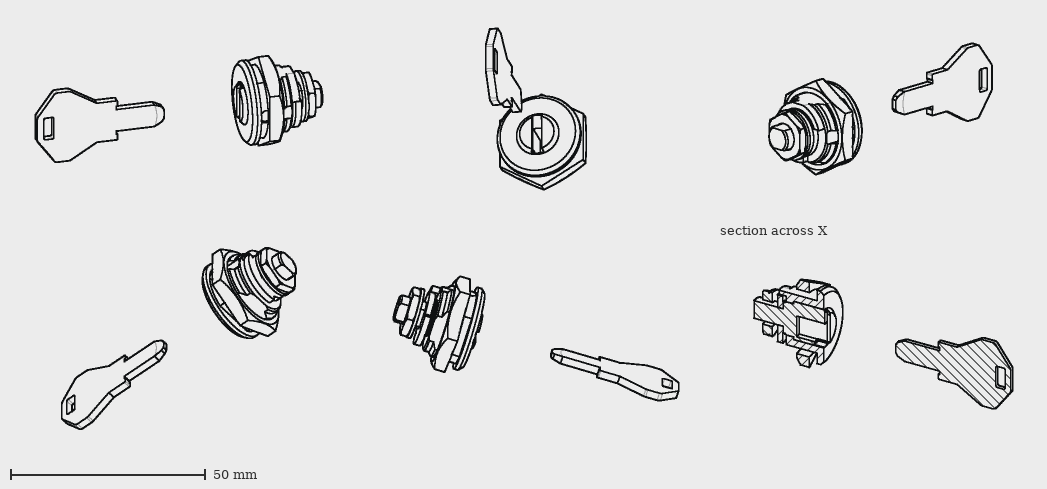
import cadquery as cq
import math


PLUG_FACE_Y = -3.2
BEZEL_FACE_Y = -2.1
BEZEL_EDGE_Y = -1.05
NUT_FRONT_Y = 2.2
NUT_REAR_Y = 6.0
THREAD_END_Y = 6.6
NECKING_Y = 7.5
HOUSING_REAR_Y = 9.05
STOP_WALL_REAR_Y = 11.2
STOP_DISC_Y = 10.05
STOP_DISC_THICKNESS = 1.6
SHAFT_END_Y = 18.5

BEZEL_RADIUS = 10.95
BEZEL_CHAMFER = 1.0
THREAD_RADIUS = 9.5
NOSE_RADIUS = 8.6
NOSE_CHAMFER = 0.45
HOUSING_HALF_FLAT = 7.85
SIDE_SLOT_WIDTH = 3.5
SIDE_SLOT_FLOOR_X = 8.3
STOP_WALL_RADIUS = 8.1
STOP_WALL_INNER_RADIUS = 6.5
STOP_EDGE = 2.4

PLUG_RADIUS = 5.6
PLUG_CHAMFER = 1.05
PLUG_SHOULDER_Y = 6.8
JOURNAL_RADIUS = 4.8
JOURNAL_END_Y = 9.4
NECK_RADIUS = 4.6
SHAFT_RADIUS = 3.55
SHAFT_HALF_FLAT = 2.68
SHAFT_CHAMFER = 0.45
KEYWAY_WIDTH = 2.6
KEYWAY_TOP_Z = 3.8
KEYWAY_DEPTH = 0.8
BLADE_SLOT_WIDTH = 2.4
BLADE_SLOT_TOP_Z = 5.1
BLADE_HOLE_TOP_Z = 1.5
BLADE_HOLE_DEPTH = 9.05
POCKET_TOP_Z = -4.3
POCKET_END_WIDTH = 3.8
POCKET_END_RADIUS = 5.35
POCKET_DEPTH = 3.8

NUT_FLATS = 22.0
NUT_CHAMFER_RADIUS = 10.9
NUT_CHAMFER_DEPTH = 1.1
SMALL_NUT_FLATS = 11.3
SMALL_NUT_FRONT_Y = 13.05
SMALL_NUT_FLANGE_RADIUS = 6.6
SMALL_NUT_FLANGE_THICKNESS = 0.8
SMALL_NUT_HEX_HEIGHT = 2.05
SMALL_NUT_CHAMFER_RADIUS = 6.0
SMALL_NUT_CHAMFER_DEPTH = 0.3

STOP_DISC_RADIUS = 6.35
STOP_LOBE_RADIUS = 7.7

KEY_END_Y = SHAFT_END_Y - 75.5
KEY_THICKNESS = 2.05
KEY_LENGTH = 34.0
BOW_END_HALF_WIDTH = 3.4
BOW_HALF_WIDTH = 9.9
BOW_WIDE_START = 4.75
BOW_WIDE_END = 8.7
BOW_CORNER_RADIUS = 1.05
COLLAR_START = 15.85
COLLAR_END = 21.4
COLLAR_HALF_WIDTH = 5.6
COLLAR_LIP_HALF_WIDTH = 4.0
COLLAR_UNDERCUT = 0.3
COLLAR_CORNER_RADIUS = 0.3
BLADE_HALF_WIDTH = 3.1
TIP_START = 31.2
TIP_SHOULDER = 33.3
TIP_SHOULDER_HALF_WIDTH = 2.1
TIP_HALF_WIDTH = 1.1
TIP_THICKNESS = 1.2
TIP_BEVEL_RADIUS = 8.1
TIP_BEVEL_LENGTH = 2.2
KEY_RING_HOLE_NEAR = 1.7
KEY_RING_HOLE_LENGTH = 2.65
KEY_RING_HOLE_HEIGHT = 6.1
KEY_RING_HOLE_CORNER = 0.45


def revolve_about_y(profile):
    """Solid of revolution about Y from (radius, y) points."""
    return cq.Workplane("XY").polyline(profile).close().revolve(360, (0, 0), (0, 1))


def cylinder(radius, y_start, y_end):
    return revolve_about_y([(0, y_start), (radius, y_start), (radius, y_end), (0, y_end)])


def block(x_range, y_range, z_range):
    """Box between two limits along each axis."""
    spans = (x_range, y_range, z_range)
    size = [high - low for low, high in spans]
    middle = [(high + low) / 2 for low, high in spans]
    return cq.Workplane("XY").box(*size).translate(tuple(middle))


def hexagon(flats, y_start, y_end):
    """Hexagonal prism along Y with corners at +Z and -Z."""
    corner_circle = flats / math.cos(math.pi / 6)
    prism = cq.Workplane("XZ").polygon(6, corner_circle).extrude(y_start - y_end)
    return prism.rotate((0, 0, 0), (0, 1, 0), 90).translate((0, y_start, 0))


def shaft_bar(y_start, y_end):
    """Round bar with flats above and below."""
    flats = block((-SHAFT_RADIUS, SHAFT_RADIUS), (y_start, y_end), (-SHAFT_HALF_FLAT, SHAFT_HALF_FLAT))
    return cylinder(SHAFT_RADIUS, y_start, y_end).intersect(flats)


def side_slot():
    """Slot across both sides of the housing, round at its bezel end and open at the rear."""
    end_radius = SIDE_SLOT_WIDTH / 2
    round_end = cq.Workplane("YZ").center(end_radius, 0).circle(end_radius).extrude(BEZEL_RADIUS, both=True)
    straight = block((-BEZEL_RADIUS, BEZEL_RADIUS), (end_radius, HOUSING_REAR_Y), (-end_radius, end_radius))
    core = block(
        (-SIDE_SLOT_FLOOR_X, SIDE_SLOT_FLOOR_X), (0, HOUSING_REAR_Y), (-SIDE_SLOT_WIDTH, SIDE_SLOT_WIDTH)
    )
    return round_end.union(straight).cut(core)


def stop_wall():
    """Raised arc on the housing's rear, above the stop faces."""
    ring = cylinder(STOP_WALL_RADIUS, HOUSING_REAR_Y, STOP_WALL_REAR_Y)
    ring = ring.cut(cylinder(STOP_WALL_INNER_RADIUS, HOUSING_REAR_Y, STOP_WALL_REAR_Y))
    upper_part = block(
        (-BEZEL_RADIUS, BEZEL_RADIUS),
        (HOUSING_REAR_Y, STOP_WALL_REAR_Y),
        (STOP_EDGE, HOUSING_HALF_FLAT),
    )
    return ring.intersect(upper_part)


def make_housing():
    bezel = revolve_about_y([
        (0, BEZEL_FACE_Y),
        (BEZEL_RADIUS - BEZEL_CHAMFER, BEZEL_FACE_Y),
        (BEZEL_RADIUS, BEZEL_EDGE_Y),
        (BEZEL_RADIUS, 0),
        (0, 0),
    ])
    barrel = revolve_about_y([
        (0, 0),
        (THREAD_RADIUS, 0),
        (THREAD_RADIUS, THREAD_END_Y),
        (NOSE_RADIUS, NECKING_Y),
        (NOSE_RADIUS, HOUSING_REAR_Y - NOSE_CHAMFER),
        (NOSE_RADIUS - NOSE_CHAMFER, HOUSING_REAR_Y),
        (0, HOUSING_REAR_Y),
    ])
    flats = block(
        (-THREAD_RADIUS, THREAD_RADIUS), (0, HOUSING_REAR_Y), (-HOUSING_HALF_FLAT, HOUSING_HALF_FLAT)
    )
    barrel = barrel.intersect(flats).cut(side_slot())
    body = bezel.union(barrel).union(stop_wall())
    body = body.cut(cylinder(PLUG_RADIUS, BEZEL_FACE_Y, PLUG_SHOULDER_Y))
    return body.cut(cylinder(JOURNAL_RADIUS, PLUG_SHOULDER_Y, HOUSING_REAR_Y))


def key_hole():
    """Shallow keyway and upward slot in the plug's face, and a deep hole for the key blade."""
    face_radius = PLUG_RADIUS - PLUG_CHAMFER
    floor_y = PLUG_FACE_Y + KEYWAY_DEPTH
    hole_end_y = PLUG_FACE_Y + BLADE_HOLE_DEPTH
    keyway_x = (-KEYWAY_WIDTH / 2, KEYWAY_WIDTH / 2)
    blade_x = (-BLADE_SLOT_WIDTH / 2, BLADE_SLOT_WIDTH / 2)
    keyway = block(keyway_x, (PLUG_FACE_Y, floor_y), (-face_radius, KEYWAY_TOP_Z))
    blade_hole = block(blade_x, (PLUG_FACE_Y, hole_end_y), (-face_radius, BLADE_HOLE_TOP_Z))
    round_ended = keyway.union(blade_hole).intersect(cylinder(face_radius, PLUG_FACE_Y, hole_end_y))
    upward_slot = block(blade_x, (PLUG_FACE_Y, floor_y), (0, BLADE_SLOT_TOP_Z))
    return round_ended.union(upward_slot)


def key_pocket():
    """Flared pocket below the keyway, ending at an arc just inside the plug's outer surface."""
    outline = [
        (-KEYWAY_WIDTH / 2, POCKET_TOP_Z),
        (KEYWAY_WIDTH / 2, POCKET_TOP_Z),
        (POCKET_END_WIDTH / 2, -PLUG_RADIUS),
        (-POCKET_END_WIDTH / 2, -PLUG_RADIUS),
    ]
    flare = cq.Workplane("XZ").polyline(outline).close().extrude(-POCKET_DEPTH)
    flare = flare.translate((0, PLUG_FACE_Y, 0))
    return flare.intersect(cylinder(POCKET_END_RADIUS, PLUG_FACE_Y, PLUG_FACE_Y + POCKET_DEPTH))


def make_plug():
    body = revolve_about_y([
        (0, PLUG_FACE_Y),
        (PLUG_RADIUS - PLUG_CHAMFER, PLUG_FACE_Y),
        (PLUG_RADIUS, BEZEL_FACE_Y),
        (PLUG_RADIUS, PLUG_SHOULDER_Y),
        (JOURNAL_RADIUS, PLUG_SHOULDER_Y),
        (JOURNAL_RADIUS, JOURNAL_END_Y),
        (NECK_RADIUS, JOURNAL_END_Y),
        (NECK_RADIUS, STOP_DISC_Y),
        (0, STOP_DISC_Y),
    ])
    tapered_end = revolve_about_y([
        (0, STOP_DISC_Y),
        (SHAFT_RADIUS, STOP_DISC_Y),
        (SHAFT_RADIUS, SHAFT_END_Y - SHAFT_CHAMFER),
        (SHAFT_RADIUS - SHAFT_CHAMFER, SHAFT_END_Y),
        (0, SHAFT_END_Y),
    ])
    shaft = shaft_bar(STOP_DISC_Y, SHAFT_END_Y).intersect(tapered_end)
    return body.union(shaft).cut(key_hole()).cut(key_pocket())


def make_mounting_nut():
    corner_radius = NUT_FLATS / 2 / math.cos(math.pi / 6)
    chamfer = revolve_about_y([
        (0, NUT_FRONT_Y),
        (corner_radius, NUT_FRONT_Y),
        (corner_radius, NUT_REAR_Y - NUT_CHAMFER_DEPTH),
        (NUT_CHAMFER_RADIUS, NUT_REAR_Y),
        (0, NUT_REAR_Y),
    ])
    nut = hexagon(NUT_FLATS, NUT_FRONT_Y, NUT_REAR_Y).intersect(chamfer)
    return nut.cut(cylinder(THREAD_RADIUS, NUT_FRONT_Y, NUT_REAR_Y))


def make_flange_nut():
    hex_front = SMALL_NUT_FRONT_Y + SMALL_NUT_FLANGE_THICKNESS
    rear = hex_front + SMALL_NUT_HEX_HEIGHT
    corner_radius = SMALL_NUT_FLATS / 2 / math.cos(math.pi / 6)
    chamfers = revolve_about_y([
        (0, hex_front),
        (SMALL_NUT_CHAMFER_RADIUS, hex_front),
        (corner_radius, hex_front + SMALL_NUT_CHAMFER_DEPTH),
        (corner_radius, rear - SMALL_NUT_CHAMFER_DEPTH),
        (SMALL_NUT_CHAMFER_RADIUS, rear),
        (0, rear),
    ])
    nut = hexagon(SMALL_NUT_FLATS, hex_front, rear).intersect(chamfers)
    nut = nut.union(cylinder(SMALL_NUT_FLANGE_RADIUS, SMALL_NUT_FRONT_Y, hex_front))
    return nut.cut(cylinder(SHAFT_RADIUS, SMALL_NUT_FRONT_Y, rear))


def make_stop_disc():
    """Disc keyed to the shaft, with a lobe that meets the ends of the stop wall."""
    rear = STOP_DISC_Y + STOP_DISC_THICKNESS
    lobe_corner = block(
        (-STOP_EDGE, STOP_LOBE_RADIUS), (STOP_DISC_Y, rear), (-STOP_LOBE_RADIUS, STOP_EDGE)
    )
    lobe = cylinder(STOP_LOBE_RADIUS, STOP_DISC_Y, rear).intersect(lobe_corner)
    disc = cylinder(STOP_DISC_RADIUS, STOP_DISC_Y, rear).union(lobe)
    return disc.cut(shaft_bar(STOP_DISC_Y, rear))


def round_key_corners(plate, corners, radius):
    """Round the plate edges that stand at the given (length, half width) corners, on both sides."""
    for length, half_width in corners:
        for side in (-1, 1):
            nearest = cq.selectors.NearestToPointSelector((0, length, side * half_width))
            plate = plate.edges("|X").edges(nearest).fillet(radius)
    return plate


def blade_lens(half_thickness):
    """Disc about an X axis, with conical bevels that thin its rim to the key's tip thickness."""
    half_tip = TIP_THICKNESS / 2
    rim_radius = TIP_BEVEL_RADIUS + TIP_BEVEL_LENGTH
    profile = [
        (-half_thickness, 0),
        (-half_thickness, TIP_BEVEL_RADIUS),
        (-half_tip, rim_radius),
        (half_tip, rim_radius),
        (half_thickness, TIP_BEVEL_RADIUS),
        (half_thickness, 0),
    ]
    return cq.Workplane("XY").polyline(profile).close().revolve(360, (0, 0), (1, 0))


def key_outline():
    """Closed outline of the key as (length, half width) points, the same on both sides."""
    upper_edge = [
        (0, BOW_END_HALF_WIDTH),
        (BOW_WIDE_START, BOW_HALF_WIDTH),
        (BOW_WIDE_END, BOW_HALF_WIDTH),
        (COLLAR_START, COLLAR_HALF_WIDTH),
        (COLLAR_END, COLLAR_HALF_WIDTH),
        (COLLAR_END, COLLAR_LIP_HALF_WIDTH),
        (COLLAR_END - COLLAR_UNDERCUT, COLLAR_LIP_HALF_WIDTH),
        (COLLAR_END - COLLAR_UNDERCUT, BLADE_HALF_WIDTH),
        (TIP_START, BLADE_HALF_WIDTH),
        (TIP_SHOULDER, TIP_SHOULDER_HALF_WIDTH),
        (KEY_LENGTH, TIP_HALF_WIDTH),
    ]
    lower_edge = [(length, -half_width) for length, half_width in reversed(upper_edge)]
    return upper_edge + lower_edge


def make_key():
    half_thickness = KEY_THICKNESS / 2
    plate = cq.Workplane("YZ").polyline(key_outline()).close().extrude(half_thickness, both=True)
    bow_corners = [
        (0, BOW_END_HALF_WIDTH),
        (BOW_WIDE_START, BOW_HALF_WIDTH),
        (BOW_WIDE_END, BOW_HALF_WIDTH),
    ]
    plate = round_key_corners(plate, bow_corners, BOW_CORNER_RADIUS)
    plate = round_key_corners(plate, [(COLLAR_END, COLLAR_HALF_WIDTH)], COLLAR_CORNER_RADIUS)

    lens_centre = KEY_LENGTH - TIP_BEVEL_RADIUS - TIP_BEVEL_LENGTH
    lens = blade_lens(half_thickness).translate((0, lens_centre, 0))
    untrimmed = block(
        (-half_thickness, half_thickness), (0, lens_centre), (-BOW_HALF_WIDTH, BOW_HALF_WIDTH)
    )
    plate = plate.intersect(lens.union(untrimmed))

    ring_hole = (
        cq.Workplane("XY")
        .box(KEY_THICKNESS, KEY_RING_HOLE_LENGTH, KEY_RING_HOLE_HEIGHT)
        .edges("|X")
        .fillet(KEY_RING_HOLE_CORNER)
        .translate((0, KEY_RING_HOLE_NEAR + KEY_RING_HOLE_LENGTH / 2, 0))
    )
    return plate.cut(ring_hole).translate((0, KEY_END_Y, 0))


housing = make_housing()
plug = make_plug()
mounting_nut = make_mounting_nut()
flange_nut = make_flange_nut()
stop_disc = make_stop_disc()
key = make_key()

result = cq.Compound.makeCompound([
    housing.val(),
    plug.val(),
    mounting_nut.val(),
    flange_nut.val(),
    stop_disc.val(),
    key.val(),
])